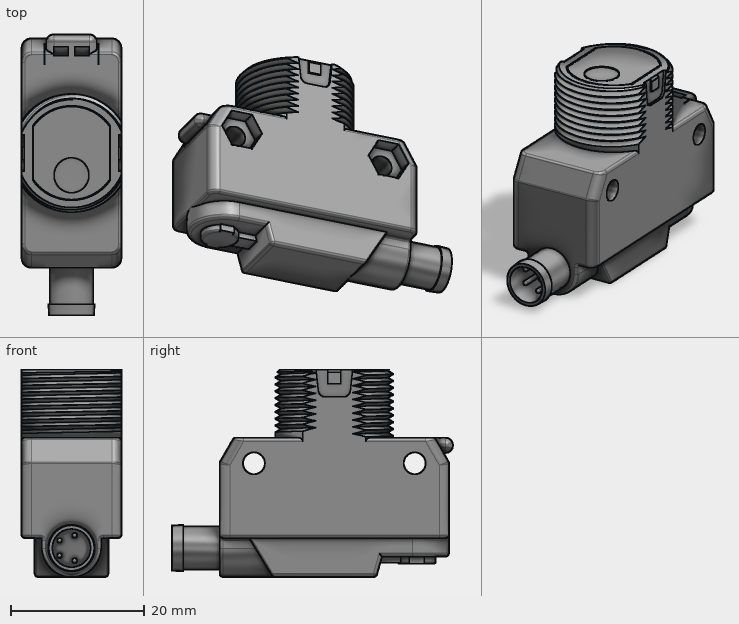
import cadquery as cq
import math


cos45 = math.cos(math.radians(45))
margin = 0.1
overlap = 1.0
far = 50.0

width = 15.0
half_width = width / 2
half_length = 17.2
body_bottom = 5.85
body_top = 20.9
end_slope_angle = 60.0
end_slope_drop = 3.7
end_slope_run = end_slope_drop / math.tan(math.radians(end_slope_angle))
end_round = 1.5
shoulder_round = 0.4
top_round = 0.5
bottom_round = 0.5

lower_radius = 5.55
lower_step = 3.05
keel_back = 7.15
keel_back_run = 0.85
keel_front_top = -12.75
keel_front_bottom = -9.2
lower_round = 0.6
keel_front_round = 0.25

connector_height = 4.35
hub_radius = 4.45
hub_corner_round = 0.3
connector_radius = 3.28
connector_end = -24.34
collar_radius = 3.5
collar_end_radius = 3.4
collar_length = 1.7
bore_radius = 2.87
bore_depth = 6.5
pin_radius = 0.37
pin_length = 4.2
pin_near_x = 0.47
pin_near_z = 1.9
pin_far_x = -1.8
pin_far_z = 1.14

head_top = 31.1
crest_radius = 8.87
root_radius = 8.0
pitch = 1.03
lowest_root = 21.94
crest_land = 0.04
groove_clearance = 0.15
groove_end_angle = 10
head_chamfer = 0.7

lens_radius = 7.1
lens_half_width = 5.83
lens_gap = 0.12
lens_gap_depth = 0.2
spot_radius = 2.62
spot_y = -3.33
spot_depth = 0.15

pocket_half_top = 2.75
pocket_half_bottom = 2.3
pocket_height = 4.1
pocket_depth = 0.4
pocket_round = 1.1
lug_width = 1.94
lug_height = 2.1
lug_chamfer = 0.4
lug_thickness = 0.3

hole_y = 12.05
hole_z = 17.06
hole_diameter = 3.25
nut_across_flats = 5.7
nut_depth = 2.5

hood_radius = 1.15
hood_end = 17.8
hood_half_length = 2.66
hood_front = 14.0
window_inner = 0.45
window_front = 14.62
window_back = 15.9
window_depth = (window_back - window_front) * math.tan(math.radians(end_slope_angle))
slit_x = 4.06
slit_width = 0.08
slit_front = 13.3
slit_back = 16.5
slit_depth = 2 * hood_radius

adjuster_y = 12.35
adjuster_radius = 2.85
adjuster_bottom = 2.0
adjuster_round = 0.3
grip_half_length = 2.9
grip_half_width = 1.1
pointer_bottom = 2.15
pointer_half_width = 1.5


def side_prism(points, half_depth):
    """Extrude a (Y, Z) outline symmetrically along X."""
    return cq.Workplane("YZ").polyline(points).close().extrude(half_depth, both=True)


def block(x0, x1, y0, y1, z0, z1):
    return cq.Workplane("XY").box(x1 - x0, y1 - y0, z1 - z0, centered=False).translate((x0, y0, z0))


def make_body():
    shoulder_z = body_top - end_slope_drop
    shoulder_y = half_length - end_slope_run
    outline = [
        (-half_length, body_bottom),
        (half_length, body_bottom),
        (half_length, shoulder_z),
        (shoulder_y, body_top),
        (-shoulder_y, body_top),
        (-half_length, shoulder_z),
    ]
    body = side_prism(outline, half_width)
    shoulders = cq.selectors.BoxSelector(
        (-far, -far, shoulder_z - margin), (far, far, shoulder_z + margin)
    )
    body = body.edges("|X").edges(shoulders).fillet(shoulder_round)
    body = body.faces("<X or >X").edges("not(|Y)").fillet(end_round)
    body = body.faces(">Z").edges().fillet(top_round)
    return round_lower_rim(body.union(make_hub()))


def make_lower_section():
    """Narrow tray with a round rear end and a deeper keel in the middle."""
    round_y = half_length - lower_radius
    tray = (
        cq.Workplane("XY", origin=(0, 0, lower_step))
        .moveTo(-lower_radius, 0)
        .lineTo(-lower_radius, round_y)
        .threePointArc((0, half_length), (lower_radius, round_y))
        .lineTo(lower_radius, 0)
        .close()
        .extrude(body_bottom + bottom_round - lower_step)
    )
    tray = tray.faces("<Z").edges("not <Y").fillet(lower_round)
    slope = (keel_front_bottom - keel_front_top) / body_bottom
    keel_top = body_bottom + bottom_round
    outline = [
        (keel_back - keel_back_run, 0),
        (keel_back, lower_step),
        (keel_back, keel_top),
        (keel_front_bottom - slope * keel_top, keel_top),
        (keel_front_bottom, 0),
    ]
    keel = side_prism(outline, lower_radius)
    back_slope = cq.selectors.BoxSelector(
        (-far, keel_back - keel_back_run, 0), (far, keel_back, lower_step)
    )
    lower_edges = keel.faces("<Z").edges().add(keel.edges(back_slope).edges("not |X"))
    keel = lower_edges.fillet(lower_round)
    keel = keel.faces("<Y").edges("not |X").fillet(keel_front_round)
    return tray.union(keel)


def make_hub():
    """U-shaped housing around the root of the connector."""
    hub_length = half_length + keel_front_bottom + overlap
    return (
        cq.Workplane("XZ", origin=(0, -half_length, 0))
        .moveTo(-hub_radius, body_bottom)
        .lineTo(-hub_radius, connector_height)
        .threePointArc((0, 0), (hub_radius, connector_height))
        .lineTo(hub_radius, body_bottom)
        .close()
        .extrude(-hub_length)
    )


def round_lower_rim(body):
    """Round the lower rim of the body in one run with the front edge of the hub."""
    corner_zone = cq.selectors.BoxSelector(
        (-hub_radius - margin, -half_length, body_bottom - margin),
        (hub_radius + margin, 0, body_bottom + margin),
    )
    body = body.edges("|Y").edges(corner_zone).fillet(hub_corner_round)
    rim_zone = cq.selectors.BoxSelector((-far, -far, -margin), (far, 0, body_bottom + margin))
    return body.faces("<Y").edges(rim_zone).fillet(bottom_round)


def connector_cylinder(radius, y_start, length):
    plane = cq.Workplane("XZ", origin=(0, y_start, connector_height))
    return plane.circle(radius).extrude(-length)


def add_connector(part):
    tube_length = -half_length + overlap - connector_end
    tube = connector_cylinder(connector_radius, connector_end, tube_length)
    collar = cq.Workplane(obj=cq.Solid.makeCone(
        collar_end_radius, collar_radius, collar_length,
        pnt=cq.Vector(0, connector_end, connector_height), dir=cq.Vector(0, 1, 0),
    ))
    part = part.union(tube).union(collar)
    part = part.cut(connector_cylinder(bore_radius, connector_end, bore_depth))
    tip_y = connector_end + bore_depth - pin_length
    for x, z in ((pin_near_x, pin_near_z), (pin_far_x, pin_far_z)):
        for side in (1, -1):
            shank = connector_cylinder(pin_radius, tip_y + pin_radius, pin_length)
            dome = cq.Workplane("XY").sphere(pin_radius)
            dome = dome.translate((0, tip_y + pin_radius, connector_height))
            part = part.union(shank.union(dome).translate((x, 0, side * z)))
    return part


def make_groove_stretch(start_angle, start_z):
    """V groove along one curved side of the head, ending outside its flats."""
    half_gap = (pitch - crest_land) / 2
    outer_radius = crest_radius + groove_clearance
    profile = (
        cq.Workplane("XZ")
        .moveTo(root_radius, 0)
        .lineTo(crest_radius, half_gap)
        .lineTo(outer_radius, half_gap)
        .lineTo(outer_radius, -half_gap)
        .lineTo(crest_radius, -half_gap)
        .close()
    )
    sweep_angle = 180 - 2 * groove_end_angle
    helix = cq.Wire.makeHelix(pitch, pitch * sweep_angle / 360, root_radius)
    stretch = profile.sweep(cq.Workplane(obj=helix), isFrenet=True)
    return stretch.rotate((0, 0, 0), (0, 0, 1), start_angle).translate((0, 0, start_z))


def vertical_cylinder(radius, z_bottom, z_top):
    return cq.Workplane("XY", origin=(0, 0, z_bottom)).circle(radius).extrude(z_top - z_bottom)


def make_head():
    """Cylinder cut flush with the sides of the housing and threaded right-handed on what is left."""
    head = vertical_cylinder(crest_radius, body_bottom + overlap, head_top)
    head = head.faces(">Z").edges().chamfer(head_chamfer)
    head = head.intersect(block(-half_width, half_width, -far, far, 0, head_top))
    turns = math.ceil((head_top - lowest_root + pitch / 2) / pitch)
    for start_angle in (groove_end_angle, 180 + groove_end_angle):
        first_z = lowest_root + pitch * (start_angle - 180) / 360
        for turn in range(turns):
            head = head.cut(make_groove_stretch(start_angle, first_z + turn * pitch))
    return head


def lens_outline(inset, depth):
    disc = cq.Workplane("XY", origin=(0, 0, head_top - depth)).circle(lens_radius - inset).extrude(depth)
    half = lens_half_width - inset
    return disc.intersect(block(-half, half, -far, far, 0, head_top))


def cut_lens(part):
    part = part.cut(lens_outline(0, lens_gap_depth).cut(lens_outline(lens_gap, lens_gap_depth)))
    spot = cq.Workplane("XY", origin=(0, spot_y, head_top - spot_depth)).circle(spot_radius)
    return part.cut(spot.extrude(spot_depth))


def cut_latch_pocket(part, side):
    floor_z = head_top - pocket_height
    pocket = (
        cq.Workplane("YZ")
        .polyline(
            [
                (-pocket_half_top, head_top),
                (-pocket_half_bottom, floor_z),
                (pocket_half_bottom, floor_z),
                (pocket_half_top, head_top),
            ]
        )
        .close()
        .extrude(pocket_depth)
    )
    pocket = pocket.faces("<Z").edges("|X").fillet(pocket_round)
    lug = (
        cq.Workplane("XZ")
        .moveTo(0, head_top)
        .lineTo(lug_thickness, head_top - lug_chamfer)
        .lineTo(lug_thickness, head_top - lug_height)
        .lineTo(0, head_top - lug_height)
        .close()
        .extrude(lug_width / 2, both=True)
    )
    pocket = pocket.cut(lug).translate((half_width - pocket_depth, 0, 0))
    if side < 0:
        pocket = pocket.mirror("YZ")
    return part.cut(pocket)


def cut_mounting_hole(part, y):
    plane = cq.Workplane("YZ", origin=(-half_width, y, hole_z))
    across_corners = nut_across_flats / math.cos(math.radians(30))
    part = part.cut(plane.circle(hole_diameter / 2).extrude(width))
    return part.cut(plane.polygon(6, across_corners).extrude(nut_depth))


def add_hood(part):
    """Rounded indicator hood with two ramped windows, flanked by two slits."""
    centre_y = hood_end - hood_radius
    centre_z = body_top - hood_radius
    capsule = (
        cq.Workplane("XY")
        .moveTo(-hood_half_length - hood_radius, 0)
        .threePointArc(
            (-hood_half_length - hood_radius * cos45, hood_radius * cos45), (-hood_half_length, hood_radius)
        )
        .lineTo(hood_half_length, hood_radius)
        .threePointArc(
            (hood_half_length + hood_radius * cos45, hood_radius * cos45), (hood_half_length + hood_radius, 0)
        )
        .close()
        .revolve(360, (0, 0, 0), (1, 0, 0))
        .translate((0, centre_y, centre_z))
    )
    web = block(
        -hood_half_length, hood_half_length, hood_front, centre_y, centre_z - hood_radius, body_top
    )
    part = part.union(capsule).union(web)
    arm = cq.Workplane("XZ", origin=(0, centre_y, centre_z)).circle(hood_radius)
    arm = arm.extrude(centre_y - hood_front)
    for side in (1, -1):
        part = part.union(arm.translate((side * hood_half_length, 0, 0)))
    ramp = [
        (window_back, body_top),
        (window_front, body_top),
        (window_front, body_top - window_depth),
    ]
    window_width = hood_half_length - window_inner
    window = side_prism(ramp, window_width / 2)
    for side in (1, -1):
        part = part.cut(window.translate((side * (window_inner + window_width / 2), 0, 0)))
        slit_left = side * slit_x - slit_width / 2
        slit_right = slit_left + slit_width
        slit = block(slit_left, slit_right, slit_front, slit_back, body_top - slit_depth, body_top)
        part = part.cut(slit)
    return part


def add_adjuster(part):
    height = lower_step + lower_round - adjuster_bottom
    knob = cq.Workplane("XY", origin=(0, adjuster_y, adjuster_bottom)).circle(adjuster_radius)
    knob = knob.extrude(height).faces("<Z").edges().fillet(adjuster_round)
    pointer = block(
        -pointer_half_width, pointer_half_width, keel_back - keel_back_run, adjuster_y,
        pointer_bottom, lower_step + lower_round,
    )
    grip = block(
        -grip_half_length, grip_half_length, adjuster_y - grip_half_width, adjuster_y + grip_half_width,
        adjuster_bottom, lower_step + lower_round,
    )
    return part.union(knob).union(grip).union(pointer)


part = make_body().union(make_lower_section())
part = add_adjuster(part)
part = part.union(make_head())
part = cut_lens(part)
for side in (1, -1):
    part = cut_latch_pocket(part, side)
    part = cut_mounting_hole(part, side * hole_y)
part = add_hood(part)
result = add_connector(part)